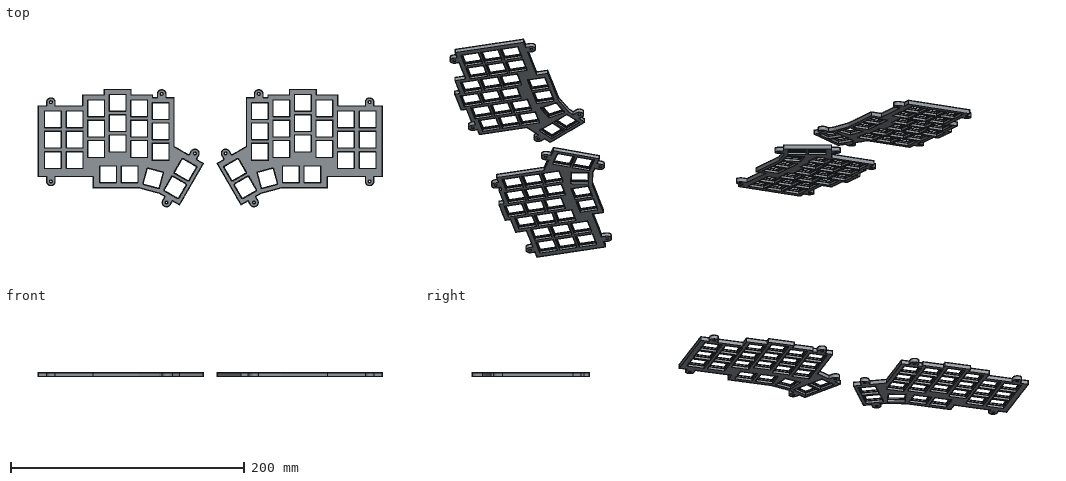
import cadquery as cq
import math

assembly_width = 295.0
plate_thickness = 3.5

opening = 14.2
clip_lip = 1.5
clip_relief = 0.5
column_span = 92.3
row_pitch = 17.5
rows = 3
rim = 4.5
half_cell = opening / 2 + rim

left_x = -assembly_width / 2
block_bottom_y = 0.0
first_column_x = left_x + 12.7
first_row_y = block_bottom_y + 14.2

column_stagger = [0.0, 0.0, 9.5, 14.2, 9.5, 7.0]
column_pitch = column_span / (len(column_stagger) - 1)
column_x = [first_column_x + i * column_pitch for i in range(len(column_stagger))]
first_column_top_y = first_row_y + (rows - 1) * row_pitch + half_cell
column_top_y = [first_column_top_y + stagger for stagger in column_stagger]

straight_thumb_keys = 2
thumb_left_x = left_x + 47.2
thumb_bottom_y = -9.7
first_thumb_key = (left_x + 60.0, 1.8)

tilt = 15.0
tilted_key = (left_x + 98.5, -1.5)

pair_tilt = 2 * tilt
pair_corner = (left_x + 141.5, 11.2)
pair_length = 41.0
pair_lower_width = 19.8
pair_axis_inset = 10.5
pair_key_drop = 12.5

tab_width = 7.5
screw_hole_diameter = 2.2
short_stand_off = 3.2
long_stand_off = 4.0
pair_stand_off = 3.8
outer_tab_x = left_x + 11.0
inner_tab_x = left_x + 106.0


def pair_point(inset, drop):
    """Point at an inset from the inner edge of the thumb pair and a drop along that edge."""
    angle = math.radians(pair_tilt)
    return (
        pair_corner[0] - inset * math.cos(angle) - drop * math.sin(angle),
        pair_corner[1] + inset * math.sin(angle) - drop * math.cos(angle),
    )


def plate_blank():
    """Stepped body of the left plate, without tabs and openings."""
    inner_x = column_x[-1] + half_cell
    inner_y = pair_corner[1] + (pair_corner[0] - inner_x) * math.tan(math.radians(pair_tilt))
    lower_bend = pair_point(pair_lower_width, pair_length)
    tilt_run = (thumb_bottom_y - lower_bend[1]) / math.tan(math.radians(tilt))
    outline = [
        (left_x, block_bottom_y),
        (left_x, column_top_y[0]),
        (column_x[2] - half_cell, column_top_y[0]),
        (column_x[2] - half_cell, column_top_y[2]),
        (column_x[3] - half_cell, column_top_y[2]),
        (column_x[3] - half_cell, column_top_y[3]),
        (column_x[3] + half_cell, column_top_y[3]),
        (column_x[3] + half_cell, column_top_y[4]),
        (column_x[4] + half_cell, column_top_y[4]),
        (column_x[4] + half_cell, column_top_y[5]),
        (inner_x, column_top_y[5]),
        (inner_x, inner_y),
        pair_corner,
        pair_point(0, pair_length),
        lower_bend,
        (lower_bend[0] - tilt_run, thumb_bottom_y),
        (thumb_left_x, thumb_bottom_y),
        (thumb_left_x, block_bottom_y),
    ]
    return cq.Workplane("XY").polyline(outline).close().extrude(plate_thickness)


def screw_tabs():
    """Centre, direction towards the plate and stand-off of each screw tab."""
    return [
        ((outer_tab_x, column_top_y[0] + short_stand_off), -90, short_stand_off),
        ((outer_tab_x, block_bottom_y - long_stand_off), 90, long_stand_off),
        ((inner_tab_x, column_top_y[5] + short_stand_off), -90, short_stand_off),
        (pair_point(pair_axis_inset, -pair_stand_off), -90 - pair_tilt, pair_stand_off),
        (pair_point(pair_axis_inset, pair_length + pair_stand_off), 90 - pair_tilt, pair_stand_off),
    ]


def tab_body(center, direction, stand_off):
    """Round-ended tab whose straight part runs a little way into the plate."""
    reach = stand_off + rim / 2
    end = cq.Workplane("XY").circle(tab_width / 2).extrude(plate_thickness)
    neck = cq.Workplane("XY").center(reach / 2, 0).rect(reach, tab_width).extrude(plate_thickness)
    tab = end.union(neck)
    return tab.rotate((0, 0, 0), (0, 0, 1), direction).translate((*center, 0))


def key_openings():
    """Centre and rotation of every key opening of the left plate."""
    keys = []
    for x, stagger in zip(column_x, column_stagger):
        for row in range(rows):
            keys.append(((x, first_row_y + stagger + row * row_pitch), 0))
    for i in range(straight_thumb_keys):
        keys.append(((first_thumb_key[0] + i * column_pitch, first_thumb_key[1]), 0))
    keys.append((tilted_key, -tilt))
    for drop in (pair_key_drop, pair_key_drop + row_pitch):
        keys.append((pair_point(pair_axis_inset, drop), -pair_tilt))
    return keys


def opening_cutter():
    """Square opening, wider below the thin lip that the switch clips grip."""
    wide = opening + 2 * clip_relief
    through = cq.Workplane("XY").rect(opening, opening).extrude(plate_thickness)
    relief = cq.Workplane("XY").rect(wide, wide).extrude(plate_thickness - clip_lip)
    return through.union(relief)


def left_plate():
    """Left plate with tabs, screw holes and key openings."""
    plate = plate_blank()
    for center, direction, stand_off in screw_tabs():
        plate = plate.union(tab_body(center, direction, stand_off))
    for center, direction, stand_off in screw_tabs():
        hole = cq.Workplane("XY").center(*center).circle(screw_hole_diameter / 2).extrude(plate_thickness)
        plate = plate.cut(hole)
    for center, rotation in key_openings():
        cutter = opening_cutter().rotate((0, 0, 0), (0, 0, 1), rotation)
        plate = plate.cut(cutter.translate((*center, 0)))
    return plate


def switch_plate(side):
    """Switch plate for one side of the keyboard; the right one mirrors the left one."""
    plate = left_plate()
    if side == "right":
        plate = plate.mirror("YZ")
    return plate


switch_plates = [switch_plate(side).val() for side in ("left", "right")]
result = cq.Compound.makeCompound(switch_plates)